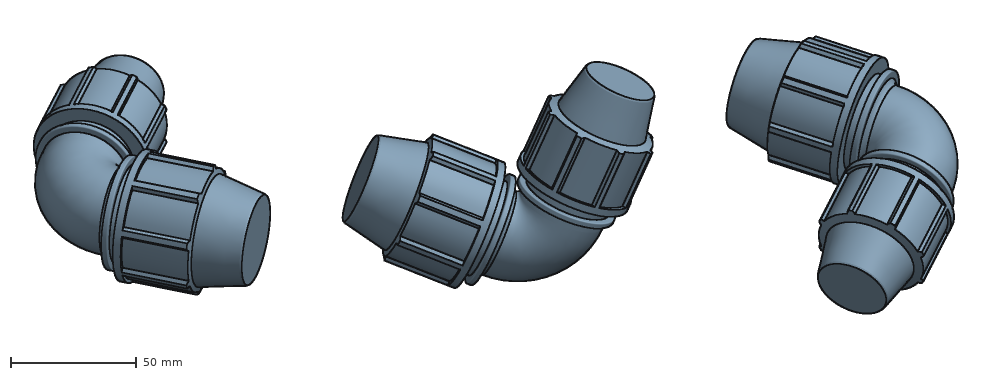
import cadquery as cq


pipe_radius = 36 / 2
bend_radius = 19.2

large_flange_radius = 54.0 / 2
large_flange_start = 27.7
large_nut_radius = 25.3
large_nut_end = 59.4
large_nose_base_radius = 23.1
large_nose_tip_radius = 18.9
large_rib_top_width = 2.5
large_rib_base_width = 4.6
large_neck_radius = 40.5 / 2
large_collar_radius = 47.0 / 2
large_collar_start = 21.5

flare_mid_station = 20.1
flare_mid_radius = 18.7
flare_cone_start = 20.8
flare_cone_radius = 19.3

small_flange_radius = 48.0 / 2
small_flange_start = 30.2
small_nut_radius = 22.6
small_nut_end = 60.3
small_nose_base_radius = 19.0
small_nose_tip_radius = 15.2
small_rib_top_width = 2.1
small_rib_base_width = 3.7
small_collar_radius = 41.8 / 2
small_collar_start = 22.6

overall_length = 106
arm_length = overall_length - large_flange_radius
flange_thickness = 3.3
collar_thickness = 2.5
collar_fillet = 0.5
shoulder_slope = 3.0
tip_length = 0.8
tip_inset = 0.4
rib_count = 8
rib_overlap = 1.1


def revolve_about_z(profile):
    """Revolve an (r, z) profile about the Z axis."""
    return profile.close().revolve(360, (0, 0, 0), (0, 1, 0))


def cylinder(radius, start, end):
    return cq.Workplane("XY").workplane(offset=start).circle(radius).extrude(end - start)


def make_nut_blank(start, outer_radius, nut_end, base_radius, tip_radius):
    """Solid of the nut before its grip is cut: cylinder, conical shoulder, tapered nose, bevelled tip."""
    shoulder_start = nut_end - (outer_radius - base_radius) / shoulder_slope
    return revolve_about_z(
        cq.Workplane("XZ")
        .moveTo(0, start)
        .lineTo(outer_radius, start)
        .lineTo(outer_radius, shoulder_start)
        .lineTo(base_radius, nut_end)
        .lineTo(tip_radius, arm_length - tip_length)
        .lineTo(tip_radius - tip_inset, arm_length)
        .lineTo(0, arm_length)
    )


def make_ribs(start, end, nut_radius, outer_radius, top_width, base_width):
    """Ring of overlong tapered ribs, marking what stays of the grip."""
    pitch = 360 / rib_count
    rib = (
        cq.Workplane("XY")
        .workplane(offset=start)
        .moveTo(nut_radius - rib_overlap, base_width / 2)
        .lineTo(nut_radius, base_width / 2)
        .lineTo(outer_radius, top_width / 2)
        .lineTo(outer_radius + 2 * rib_overlap, top_width / 2)
        .lineTo(outer_radius + 2 * rib_overlap, -top_width / 2)
        .lineTo(outer_radius, -top_width / 2)
        .lineTo(nut_radius, -base_width / 2)
        .lineTo(nut_radius - rib_overlap, -base_width / 2)
        .close()
        .extrude(end - start)
    )
    ribs = cq.Workplane("XY")
    for index in range(rib_count):
        ribs = ribs.add(rib.rotate((0, 0, 0), (0, 0, 1), pitch * (index + 0.5)))
    return ribs.combine()


def make_nut(flange_start, flange_radius, nut_radius, nut_end, base_radius, tip_radius,
             rib_top_width, rib_base_width):
    """Flanged nut whose grip is cut down between the ribs, leaving their tops flush with the flange rim."""
    blank = make_nut_blank(flange_start, flange_radius, nut_end, base_radius, tip_radius)
    grip_start = flange_start + flange_thickness
    grip_ring = cylinder(flange_radius + rib_overlap, grip_start, nut_end).cut(
        cylinder(nut_radius, grip_start, nut_end)
    )
    ribs = make_ribs(grip_start, nut_end, nut_radius, flange_radius, rib_top_width, rib_base_width)
    return blank.cut(grip_ring.cut(ribs))


def make_collar(radius, start):
    return cylinder(radius, start, start + collar_thickness).edges().fillet(collar_fillet)


def make_flared_neck():
    """Neck of the large arm, flaring from the pipe up to the neck radius."""
    return revolve_about_z(
        cq.Workplane("XZ")
        .moveTo(0, bend_radius)
        .lineTo(pipe_radius, bend_radius)
        .threePointArc((flare_mid_radius, flare_mid_station), (flare_cone_radius, flare_cone_start))
        .lineTo(large_neck_radius, large_collar_start)
        .lineTo(large_neck_radius, large_flange_start)
        .lineTo(0, large_flange_start)
    )


def make_large_arm():
    nut = make_nut(
        large_flange_start, large_flange_radius, large_nut_radius, large_nut_end,
        large_nose_base_radius, large_nose_tip_radius, large_rib_top_width, large_rib_base_width,
    )
    collar = make_collar(large_collar_radius, large_collar_start)
    return nut.union(make_flared_neck()).union(collar)


def make_small_arm():
    nut = make_nut(
        small_flange_start, small_flange_radius, small_nut_radius, small_nut_end,
        small_nose_base_radius, small_nose_tip_radius, small_rib_top_width, small_rib_base_width,
    )
    neck = cylinder(pipe_radius, bend_radius, small_flange_start)
    collar = make_collar(small_collar_radius, small_collar_start)
    return nut.union(neck).union(collar)


def make_bend():
    """Quarter-turn bend joining the two arms."""
    return (
        cq.Workplane("XZ", origin=(0, bend_radius, 0))
        .circle(pipe_radius)
        .revolve(90, (bend_radius, 0, 0), (bend_radius, 1, 0))
    )


large_arm = make_large_arm().rotate((0, 0, 0), (0, 1, 0), 90)
small_arm = make_small_arm().rotate((0, 0, 0), (1, 0, 0), -90)
result = make_bend().union(large_arm).union(small_arm)